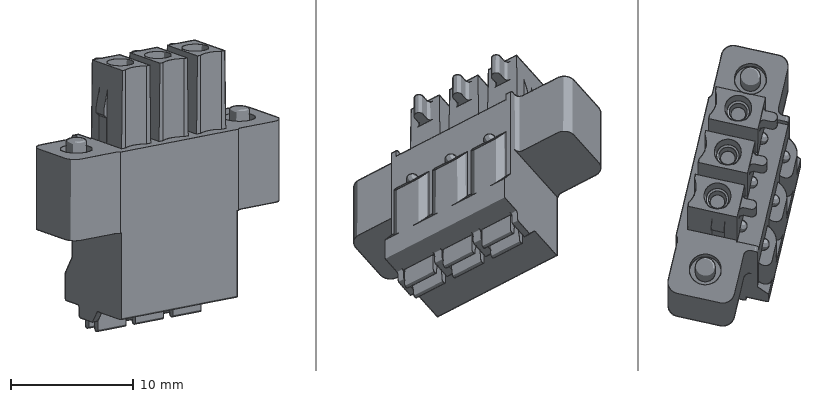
import cadquery as cq
import math


pitch = 3.82
positions = [-pitch, 0, pitch]
axis_x = 4.76

body_depth = 7.75
body_half_width = 5.9
body_bottom = 2.02
body_top = 16.28
rib_height = 0.95
ramp_bottom = 4.33
ramp_height = 1.53
top_edge_radius = 0.27
bottom_edge_radius = 0.18

foot_bottom = 0.96
foot_front = 1.9
foot_back = 3.73
foot_back_root = 4.42
foot_edge_radius = 0.23
foot_slot_width = 3.07

rib_width = 3.25
rib_top = 11.4
rib_corner_radius = 0.9

ledge_floor = 15.41
ledge_half_width = 5.43
dot_radius = 0.5

socket_front = 2.8
socket_back = 6.95
socket_top = 22.9
socket_half_top = 1.4
socket_half_base = 1.49
scallop_chord = 2.15
scallop_sagitta = 0.32

funnel_steps = [(0, 1.1), (1.0, 0.92), (1.12, 0.73), (1.83, 0.6)]

key_width = 0.8
key_tip = 1.49
key_bottom = 20.27
key_top = 22.53
key_root_radius = 0.35

latch_front = 3.82
latch_back = 4.9
latch_reach = 5.59
latch_bend_y = 5.52
latch_ramp_top = 20.8
latch_bend_top = 19.58
latch_bend_bottom = 19.15
latch_nose_bottom = 18.7
latch_bottom = 18.43

flange_end = 10.8
flange_front = 1.97
flange_back = 7.53
flange_bottom = 9.4
flange_corner_radius = 0.98
flange_root_radius = 0.5
pin_offset = 8.31
pin_radius = 0.82
pin_top = 17.08
pin_edge_radius = 0.18
recess_radius = 1.3
recess_depth = 0.8

contact_width = 2.85
prong_outer = [1.88, 3.65]
prong_root = 0.57
prong_tip = 0.48
prong_taper_top = 0.57
prong_tip_radius = 0.23

overlap = 0.11


def box(x_range, y_range, z_range):
    """Axis-aligned block between the given limits."""
    size = [high - low for low, high in (x_range, y_range, z_range)]
    corner = (x_range[0], y_range[0], z_range[0])
    return cq.Workplane("XY").box(*size, centered=False).translate(corner)


def extrude_y(points, half_width, center=0):
    """Extrude an X-Z outline symmetrically about Y = center."""
    outline = cq.Workplane("XZ").polyline(points).close()
    return outline.extrude(half_width, both=True).translate((0, center, 0))


def make_body():
    body = extrude_y(
        [
            (0, body_bottom),
            (0, ramp_bottom),
            (rib_height, ramp_bottom + ramp_height),
            (rib_height, body_top),
            (body_depth, body_top),
            (body_depth, body_bottom),
            (foot_back_root, body_bottom),
            (foot_back, foot_bottom),
            (foot_front, foot_bottom),
            (foot_front, body_bottom),
        ],
        body_half_width,
    )

    def edge_at(x, z):
        return cq.selectors.NearestToPointSelector((x, 0, z))

    body = body.edges(edge_at(rib_height, body_top)).fillet(top_edge_radius)
    for x in (0, body_depth):
        body = body.edges(edge_at(x, body_bottom)).fillet(bottom_edge_radius)
    for z in (body_bottom, foot_bottom):
        body = body.edges(edge_at(foot_front, z)).fillet(foot_edge_radius)

    for y in positions:
        half = foot_slot_width / 2
        body = body.cut(box((0, body_depth), (y - half, y + half), (0, body_bottom)))
    return body


def make_flange():
    """Flange on the +Y end, with fillets running into the body."""
    root_y = body_half_width + flange_root_radius
    corner_y = flange_end - flange_corner_radius
    back_root_run = flange_back + flange_root_radius - body_depth
    back_root_y = root_y - math.sqrt(flange_root_radius**2 - back_root_run**2)
    front_root_x = flange_front - flange_root_radius
    return (
        cq.Workplane("XY", origin=(0, 0, flange_bottom))
        .moveTo(front_root_x - overlap, body_half_width - overlap)
        .lineTo(front_root_x - overlap, body_half_width)
        .lineTo(front_root_x, body_half_width)
        .tangentArcPoint((flange_front, root_y), relative=False)
        .lineTo(flange_front, corner_y)
        .tangentArcPoint((flange_front + flange_corner_radius, flange_end), relative=False)
        .lineTo(flange_back - flange_corner_radius, flange_end)
        .tangentArcPoint((flange_back, corner_y), relative=False)
        .lineTo(flange_back, root_y)
        .tangentArcPoint((body_depth, back_root_y), relative=False)
        .lineTo(body_depth, body_half_width - overlap)
        .close()
        .extrude(body_top - flange_bottom)
    )


def make_pinned_flange():
    """Flange with a round recess and a pin standing in it."""
    recess_floor = body_top - recess_depth
    pin_center = (axis_x, pin_offset, recess_floor)
    recess = cq.Workplane("XY", origin=pin_center).circle(recess_radius).extrude(recess_depth)
    pin_base = (axis_x, pin_offset, recess_floor - overlap)
    pin = cq.Workplane("XY", origin=pin_base).circle(pin_radius).extrude(pin_top - pin_base[2])
    pin = pin.faces(">Z").edges().fillet(pin_edge_radius)
    return make_flange().cut(recess).union(pin)


def make_rib(y):
    """Front rib with rounded long edges and a sloped upper end."""
    half = rib_width / 2
    back = rib_height + overlap
    bar = box((0, back), (y - half, y + half), (ramp_bottom, rib_top))
    bar = bar.edges("|Z and <X").fillet(rib_corner_radius)
    side = extrude_y(
        [
            (0, ramp_bottom),
            (0, rib_top - ramp_height),
            (rib_height, rib_top),
            (back, rib_top),
            (back, ramp_bottom),
        ],
        half,
        y,
    )
    return bar.intersect(side)


def make_socket(y):
    """Drafted block with a scalloped back face."""
    block = (
        cq.Workplane("YZ", origin=(socket_front, y, 0))
        .polyline(
            [
                (-socket_half_base, body_top),
                (socket_half_base, body_top),
                (socket_half_top, socket_top),
                (-socket_half_top, socket_top),
            ]
        )
        .close()
        .extrude(socket_back - socket_front)
    )
    radius = (scallop_chord**2 / 4 + scallop_sagitta**2) / (2 * scallop_sagitta)
    scallop_x = socket_back - scallop_sagitta + radius
    scallop = (
        cq.Workplane("XY", origin=(scallop_x, y, body_top))
        .circle(radius)
        .extrude(socket_top - body_top)
    )
    return block.cut(scallop)


def make_funnel(y):
    """Solid of revolution that is removed from a socket."""
    depth = funnel_steps[-1][0]
    wall = [(radius, -step_depth) for step_depth, radius in funnel_steps]
    return (
        cq.Workplane("XZ", origin=(axis_x, y, socket_top))
        .polyline([(0, 0)] + wall + [(0, -depth)])
        .close()
        .revolve(360, (0, 0), (0, 1))
    )


def make_key(y):
    """Round-nosed key that flares out where it meets the socket."""
    half = key_width / 2
    flare = half + key_root_radius
    neck_x = socket_front - key_root_radius
    nose_x = key_tip + half
    return (
        cq.Workplane("XY", origin=(0, y, key_bottom))
        .moveTo(socket_front + overlap, flare + overlap)
        .lineTo(socket_front, flare + overlap)
        .lineTo(socket_front, flare)
        .tangentArcPoint((neck_x, half), relative=False)
        .lineTo(nose_x, half)
        .threePointArc((key_tip, 0), (nose_x, -half))
        .lineTo(neck_x, -half)
        .tangentArcPoint((socket_front, -flare), relative=False)
        .lineTo(socket_front, -flare - overlap)
        .lineTo(socket_front + overlap, -flare - overlap)
        .close()
        .extrude(key_top - key_bottom)
    )


def make_latch():
    """Snap latch and its upright strip on the +Y wall of the last socket."""
    strip_y = pitch + socket_half_base
    inner_y = pitch + socket_half_top - overlap
    drafted = (socket_half_base - socket_half_top) / (socket_top - body_top)
    ramp_start_y = strip_y - drafted * (latch_ramp_top - body_top)
    return (
        cq.Workplane("YZ", origin=(latch_front, 0, 0))
        .moveTo(inner_y, body_top)
        .lineTo(strip_y, body_top)
        .lineTo(strip_y, latch_bottom)
        .lineTo(latch_reach, latch_nose_bottom)
        .lineTo(latch_reach, latch_bend_bottom)
        .tangentArcPoint((latch_bend_y, latch_bend_top), relative=False)
        .lineTo(ramp_start_y, latch_ramp_top)
        .lineTo(inner_y, latch_ramp_top)
        .close()
        .extrude(latch_back - latch_front)
    )


def make_prong(y, outer_x, inward):
    """Flat prong below the body; inward is the X direction towards its partner."""
    tip_x = outer_x + inward * prong_tip
    prong = extrude_y(
        [
            (outer_x, 0),
            (outer_x, body_bottom + overlap),
            (outer_x + inward * prong_root, body_bottom + overlap),
            (outer_x + inward * prong_root, foot_bottom),
            (tip_x, prong_taper_top),
            (tip_x, 0),
        ],
        contact_width / 2,
        y,
    )
    return prong.faces("<Z").edges("|Y").fillet(prong_tip_radius)


def make_dot(x, y, z):
    return cq.Workplane("XY", origin=(x, y, z)).sphere(dot_radius)


part = make_body()

flange = make_pinned_flange()
latch = make_latch()
part = part.union(flange).union(flange.mirror("XZ"))

ledge = box(
    (0, socket_front),
    (-ledge_half_width, ledge_half_width),
    (ledge_floor, body_top),
)
part = part.cut(ledge)

for y in positions:
    part = part.union(make_rib(y))
    part = part.union(make_socket(y).cut(make_funnel(y)))
    part = part.union(make_key(y))
    part = part.union(make_dot(rib_height, y, rib_top))
    part = part.union(make_dot(socket_front, y, ledge_floor))
    for outer_x, inward in zip(prong_outer, (1, -1)):
        part = part.union(make_prong(y, outer_x, inward))

result = part.union(latch).union(latch.mirror("XZ"))